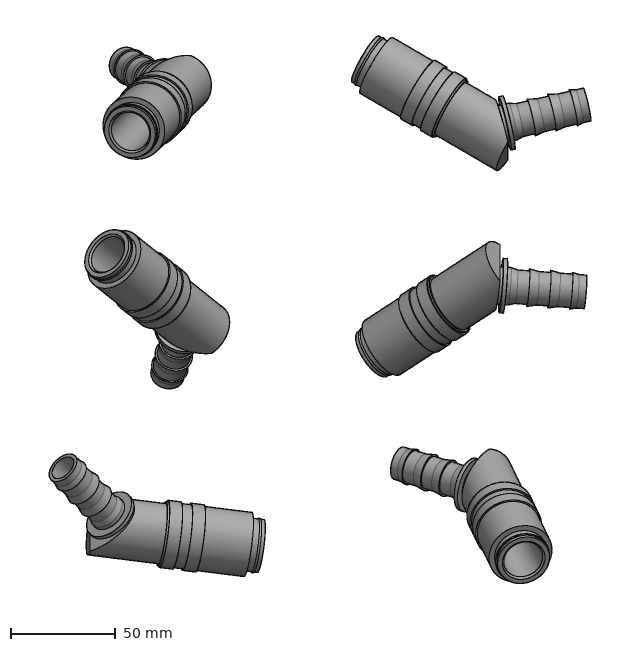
import cadquery as cq

SPIGOT_DIAMETER = 25.6
SPIGOT_LENGTH = 6.3
BODY_DIAMETER = 31.0
BODY_END = 47.9
COLLAR_DIAMETER = 32.5
COLLAR_WIDTH = 6.3
COLLAR_STARTS = (29.5, 40.7)
HEAD_DIAMETER = 29.0
HEAD_END = 82.0

RING_DIAMETER = 26.4
RING_WIDTH = 1.1
RING_CENTRE = 2.4

MOUTH_DIAMETER = 20.9
BORE_DIAMETER = 19.1
MOUTH_DEPTH = 1.0
BORE_DEPTH = 45.3
INNER_BORE_DIAMETER = 14.1
INNER_BORE_DEPTH = 74.4

FACE_TOP_X = 3.8
AXES_CROSSING_Y = 66.4

TAIL_LENGTH = 42.2
TAIL_DIAMETER = 16.2
TAIL_BORE_DIAMETER = 12.6
NECK_DIAMETER = 18.1
FLANGE_DIAMETER = 26.2
FLANGE_START = 1.8
FLANGE_END = 3.8
NECK_END = 5.8
NECK_TAPER_END = 9.1
BARB_DIAMETER = 18.1
LONG_BARBS = ((14.8, 19.3), (24.9, 29.4))
END_BARB_DIAMETER = 17.7
END_BARB = (35.4, 38.4)
TAIL_EMBED = 2.2

FACE_OFFSET = HEAD_END - FACE_TOP_X
TAIL_ORIGIN_X = (AXES_CROSSING_Y - FACE_OFFSET) / 2
TAIL_ORIGIN_Y = TAIL_ORIGIN_X + FACE_OFFSET
TAIL_PLANE = cq.Plane(
    origin=(TAIL_ORIGIN_X, TAIL_ORIGIN_Y, 0),
    xDir=(0, 0, 1),
    normal=(-1, 1, 0),
)


def body_cylinder(diameter, start, end):
    """Cylinder on the body axis between two Y positions."""
    base = cq.Workplane("XZ", origin=(0, start, 0))
    return base.circle(diameter / 2).extrude(start - end)


def tail_cylinder(diameter, start, end):
    """Cylinder on the tail axis between two distances from the slanted face."""
    base = cq.Workplane(TAIL_PLANE).workplane(offset=start)
    return base.circle(diameter / 2).extrude(end - start)


def tail_cone(crest_diameter, crest, taper_end):
    """Barb that tapers outward from its crest down to the tail diameter."""
    base = cq.Workplane(TAIL_PLANE).workplane(offset=crest)
    crest_circle = base.circle(crest_diameter / 2)
    return crest_circle.workplane(offset=taper_end - crest).circle(TAIL_DIAMETER / 2).loft()


def make_head():
    head = body_cylinder(HEAD_DIAMETER, BODY_END, HEAD_END)
    cutter_size = 2 * HEAD_END
    beyond_face = cq.Workplane(TAIL_PLANE).rect(cutter_size, cutter_size).extrude(HEAD_END)
    return head.cut(beyond_face)


def make_snap_ring():
    half_width = RING_WIDTH / 2
    root = SPIGOT_DIAMETER / 2
    inside = root - half_width
    profile = (
        cq.Workplane("XY")
        .moveTo(inside, RING_CENTRE - half_width)
        .lineTo(root, RING_CENTRE - half_width)
        .threePointArc((RING_DIAMETER / 2, RING_CENTRE), (root, RING_CENTRE + half_width))
        .lineTo(inside, RING_CENTRE + half_width)
        .close()
    )
    return profile.revolve(360, (0, 0, 0), (0, 1, 0))


def make_body():
    body = body_cylinder(SPIGOT_DIAMETER, 0, SPIGOT_LENGTH)
    body = body.union(make_snap_ring())
    body = body.union(body_cylinder(BODY_DIAMETER, SPIGOT_LENGTH, BODY_END))
    for start in COLLAR_STARTS:
        body = body.union(body_cylinder(COLLAR_DIAMETER, start, start + COLLAR_WIDTH))
    return body.union(make_head())


def make_tail():
    tail = tail_cylinder(TAIL_DIAMETER, -TAIL_EMBED, TAIL_LENGTH)
    tail = tail.union(tail_cylinder(NECK_DIAMETER, -TAIL_EMBED, NECK_END))
    tail = tail.union(tail_cylinder(FLANGE_DIAMETER, FLANGE_START, FLANGE_END))
    tail = tail.union(tail_cone(NECK_DIAMETER, NECK_END, NECK_TAPER_END))
    for crest, taper_end in LONG_BARBS:
        tail = tail.union(tail_cone(BARB_DIAMETER, crest, taper_end))
    return tail.union(tail_cone(END_BARB_DIAMETER, *END_BARB))


def make_body_bore():
    """Chamfered wide bore followed by the narrower flat-bottomed bore."""
    profile = cq.Workplane("XY").polyline([
        (0, 0),
        (MOUTH_DIAMETER / 2, 0),
        (BORE_DIAMETER / 2, MOUTH_DEPTH),
        (BORE_DIAMETER / 2, BORE_DEPTH),
        (INNER_BORE_DIAMETER / 2, BORE_DEPTH),
        (INNER_BORE_DIAMETER / 2, INNER_BORE_DEPTH),
        (0, INNER_BORE_DEPTH),
    ]).close()
    return profile.revolve(360, (0, 0, 0), (0, 1, 0))


def make_tail_bore():
    """Bore through the tail, starting where the two axes cross."""
    crossing_distance = TAIL_ORIGIN_X * 2**0.5
    return tail_cylinder(TAIL_BORE_DIAMETER, crossing_distance, TAIL_LENGTH)


result = make_body().union(make_tail()).cut(make_body_bore()).cut(make_tail_bore())